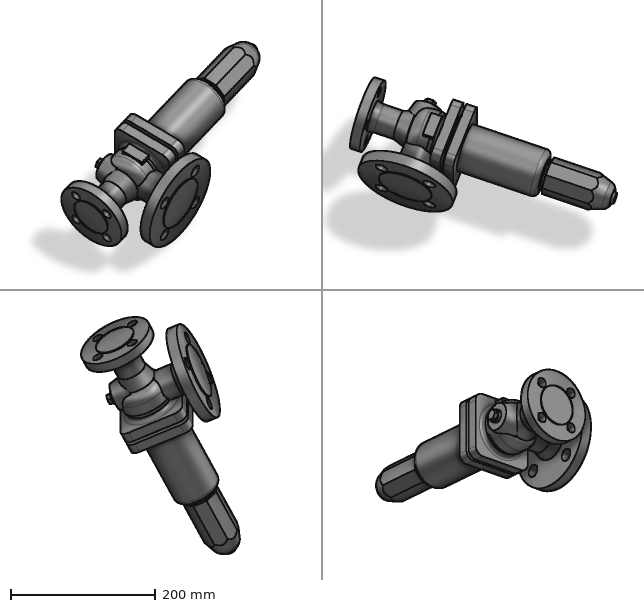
import cadquery as cq
import math

overall_length = 374.7

inlet_flange_radius = 52.5
inlet_flange_top = 16.0
inlet_seal_radius = 29.0
inlet_hole_radius = 7.0
inlet_bolt_circle_radius = 37.5
inlet_pipe_radius = 21.0
inlet_collar_radius = 23.0
inlet_collar_top = 26.2
inlet_pipe_top = 54.5
seal_height = 1.5

bolt_count = 4
bolt_start_angle = 45.0

outlet_axis_y = 95.0
outlet_face_x = 85.0
outlet_flange_radius = 70.0
outlet_flange_back_x = 67.5
outlet_seal_radius = 39.0
outlet_hole_radius = 9.0
outlet_bolt_circle_radius = 50.0
outlet_pipe_radius = 23.2
outlet_cone_radius = 29.5
outlet_cone_start_x = 52.0

bowl_bottom = 74.0
bowl_radius = 37.0
bowl_corner_radius = 16.5
bowl_cone_radius = 27.7
bowl_top = 106.5
neck_radius = 35.2
neck_y = 112.0

plate_size = 95.0
plate_corner_radius = 12.7
lower_plate_bottom = 118.5
lower_plate_top = 133.5
upper_plate_bottom = 138.3
upper_plate_top = 153.0
ring_radius = 41.0
ring_top = 135.5
spigot_radius = 37.0

bonnet_radius = 34.5
bonnet_top = 269.5
bonnet_corner_radius = 8.0
collar_radius = 23.0
collar_top = 271.5
stem_base_radius = 20.5
stem_top_radius = 23.0
cap_bottom = 275.5
cap_across_flats = 50.0
cap_sides = 8
cap_flat_top = 349.0
cap_cone_top = 362.5
cap_cone_top_radius = 20.2
cap_crown_y = 370.5
cap_crown_radius = 12.7
tip_base_radius = 10.0
tip_top_radius = 8.0

boss_axis_y = 83.5
boss_face_x = -38.5
boss_end_x = -11.2
boss_face_radius = 20.0
boss_taper_deg = 15.0
plug_washer_radius = 9.5
plug_washer_x = -43.0
plug_head_x = -49.0
plug_across_flats = 14.0
plug_sides = 6

pad_width = 34.0
pad_bottom = 96.0
pad_top = neck_y
pad_height = 39.5


def revolve_about_y(outline):
    """Turn a closed (radius, y) outline about the spindle axis."""
    return outline.close().revolve(360, (0, 0), (0, 1))


def disc(radius, start, end):
    """Cylinder on the spindle axis between two Y positions."""
    return cq.Workplane("XZ", origin=(0, start, 0)).circle(radius).extrude(start - end)


def frustum_x(axis_y, start_x, start_radius, end_x, end_radius):
    """Cone or cylinder about a line parallel to X."""
    outline = (
        cq.Workplane("XY", origin=(0, axis_y, 0))
        .moveTo(start_x, 0)
        .lineTo(start_x, start_radius)
        .lineTo(end_x, end_radius)
        .lineTo(end_x, 0)
        .close()
    )
    return outline.revolve(360, (0, 0), (1, 0))


def bolt_holes(plane, origin, bolt_circle_radius, hole_radius, depth):
    """Ring of bolt-hole cylinders extruded along the plane normal."""
    return (
        cq.Workplane(plane, origin=origin)
        .polarArray(bolt_circle_radius, bolt_start_angle, 360, bolt_count)
        .circle(hole_radius)
        .extrude(depth)
    )


def inlet():
    """Flange with raised seal, short collar, pipe and widening cone."""
    outline = (
        cq.Workplane("XY")
        .moveTo(0, 0)
        .lineTo(inlet_seal_radius, 0)
        .lineTo(inlet_seal_radius, seal_height)
        .lineTo(inlet_flange_radius, seal_height)
        .lineTo(inlet_flange_radius, inlet_flange_top)
        .lineTo(inlet_collar_radius, inlet_flange_top)
        .lineTo(inlet_pipe_radius, inlet_collar_top)
        .lineTo(inlet_pipe_radius, inlet_pipe_top)
        .lineTo(bowl_cone_radius, bowl_bottom)
        .lineTo(0, bowl_bottom)
    )
    holes = bolt_holes("XZ", (0, inlet_flange_top, 0), inlet_bolt_circle_radius,
                       inlet_hole_radius, inlet_flange_top)
    return revolve_about_y(outline).cut(holes)


def bowl():
    """Rounded body with a concave neck that flares out under the lower plate."""
    corner_y = bowl_bottom + bowl_corner_radius
    flare_radius = lower_plate_bottom - neck_y
    diagonal = math.sqrt(0.5)
    bottom_corner_mid = (
        bowl_radius - bowl_corner_radius * (1 - diagonal),
        corner_y - bowl_corner_radius * diagonal,
    )
    flare_mid = (
        neck_radius + flare_radius * (1 - diagonal),
        neck_y + flare_radius * diagonal,
    )
    outline = (
        cq.Workplane("XY")
        .moveTo(0, bowl_bottom)
        .lineTo(bowl_radius - bowl_corner_radius, bowl_bottom)
        .threePointArc(bottom_corner_mid, (bowl_radius, corner_y))
        .lineTo(bowl_radius, bowl_top)
        .lineTo(neck_radius, neck_y)
        .threePointArc(flare_mid, (neck_radius + flare_radius, lower_plate_bottom))
        .lineTo(0, lower_plate_bottom)
    )
    return revolve_about_y(outline)


def outlet():
    """Pipe, cone and flange with a raised seal."""
    seal_back_x = outlet_face_x - seal_height
    pipe = frustum_x(outlet_axis_y, 0, outlet_pipe_radius, outlet_cone_start_x, outlet_pipe_radius)
    cone = frustum_x(outlet_axis_y, outlet_cone_start_x, outlet_pipe_radius,
                     outlet_flange_back_x, outlet_cone_radius)
    flange = frustum_x(outlet_axis_y, outlet_flange_back_x, outlet_flange_radius,
                       seal_back_x, outlet_flange_radius)
    seal = frustum_x(outlet_axis_y, seal_back_x, outlet_seal_radius, outlet_face_x, outlet_seal_radius)
    holes = bolt_holes("YZ", (outlet_flange_back_x, outlet_axis_y, 0), outlet_bolt_circle_radius,
                       outlet_hole_radius, outlet_face_x - outlet_flange_back_x)
    return pipe.union(cone).union(flange.cut(holes)).union(seal)


def square_plate(bottom, top):
    """Square plate with rounded corners, centred on the spindle axis."""
    return (
        cq.Workplane("XZ", origin=(0, bottom, 0))
        .rect(plate_size, plate_size)
        .extrude(bottom - top)
        .edges("|Y")
        .fillet(plate_corner_radius)
    )


def clamp():
    """Two square plates with a ring and spigot between them."""
    ring = disc(ring_radius, lower_plate_top, ring_top)
    spigot = disc(spigot_radius, ring_top, upper_plate_bottom)
    lower_plate = square_plate(lower_plate_bottom, lower_plate_top)
    upper_plate = square_plate(upper_plate_bottom, upper_plate_top)
    return lower_plate.union(ring).union(spigot).union(upper_plate)


def bonnet():
    """Round spring housing with a rounded top edge, collar and a stem that widens toward the cap."""
    housing = disc(bonnet_radius, upper_plate_top, bonnet_top)
    housing = housing.faces(">Y").edges().fillet(bonnet_corner_radius)
    collar = disc(collar_radius, bonnet_top, collar_top)
    stem = revolve_about_y(
        cq.Workplane("XY")
        .moveTo(0, collar_top)
        .lineTo(stem_base_radius, collar_top)
        .lineTo(stem_top_radius, cap_bottom)
        .lineTo(0, cap_bottom)
    )
    return housing.union(collar).union(stem)


def cap():
    """Octagonal prism trimmed by a turned envelope with a cone, rounded crown and tip."""
    corner_radius = cap_across_flats / 2 / math.cos(math.pi / cap_sides)
    prism = (
        cq.Workplane("XZ", origin=(0, cap_bottom, 0))
        .transformed(rotate=(0, 0, 180 / cap_sides))
        .polygon(cap_sides, 2 * corner_radius)
        .extrude(cap_bottom - overall_length)
    )
    cone_slope = (cap_across_flats / 2 - cap_cone_top_radius) / (cap_cone_top - cap_flat_top)
    cone_base_radius = cap_cone_top_radius + cone_slope * (cap_cone_top - cap_bottom)
    envelope = (
        cq.Workplane("XY")
        .moveTo(0, cap_bottom)
        .lineTo(cone_base_radius, cap_bottom)
        .lineTo(cap_cone_top_radius, cap_cone_top)
        .tangentArcPoint((cap_crown_radius, cap_crown_y), relative=False)
        .lineTo(tip_base_radius, cap_crown_y)
        .lineTo(tip_top_radius, overall_length)
        .lineTo(0, overall_length)
    )
    return prism.intersect(revolve_about_y(envelope))


def drain_boss():
    """Boss that widens toward the body, closed by a plug with washer and hexagonal head."""
    boss_end_radius = boss_face_radius + (boss_end_x - boss_face_x) * math.tan(math.radians(boss_taper_deg))
    boss = frustum_x(boss_axis_y, boss_face_x, boss_face_radius, boss_end_x, boss_end_radius)
    washer = frustum_x(boss_axis_y, plug_washer_x, plug_washer_radius, boss_face_x, plug_washer_radius)
    head = (
        cq.Workplane("YZ", origin=(plug_head_x, boss_axis_y, 0))
        .polygon(plug_sides, plug_across_flats / math.cos(math.pi / plug_sides))
        .extrude(plug_washer_x - plug_head_x)
    )
    return boss.union(washer).union(head)


def name_pad():
    """Flat rectangular pad on the +Z side of the bowl."""
    return (
        cq.Workplane("XY")
        .center(0, (pad_bottom + pad_top) / 2)
        .rect(pad_width, pad_top - pad_bottom)
        .extrude(pad_height)
    )


result = inlet()
for section in (bowl(), outlet(), clamp(), bonnet(), cap(), drain_boss(), name_pad()):
    result = result.union(section)